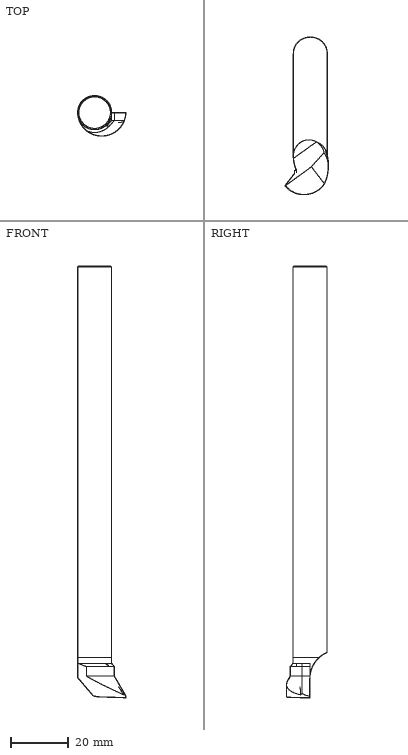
import cadquery as cq
import math

TOTAL_LENGTH = 151.2
SHANK_RADIUS = 5.97
SHANK_CHAMFER = 0.5

JOINT_Z = 14.0
NECK_Z = 12.1
COLLAR_TOP_Z = 10.9
COLLAR_BOTTOM_Z = 7.5

COLLAR_RADIUS = 7.0
TIP_X = 10.97
HEAD_RADIUS = (TIP_X + SHANK_RADIUS) / 2
HEAD_CENTER_X = (TIP_X - SHANK_RADIUS) / 2
HEAD_CENTER_Y = 0.23
FLARE_HALF_ANGLE = 30.0

PAD_WIDTH = 2.7
PAD_BEVEL_END = 4.7

HEEL_TOP_Z = 7.1
HEEL_BOTTOM_X = -0.5
HEEL_BOTTOM_Z = 0.6
SOLE_X = 1.2
SOLE_Z = 0.3

RUNOUT_RADIUS = 9.8
RUNOUT_CENTER_Z = 6.8

CUT_SIZE = 45.4


def rake_cutter():
    """Space behind the rake face, with a cylindrical run-out into the shank."""
    runout = (
        cq.Workplane("YZ")
        .center(RUNOUT_RADIUS, RUNOUT_CENTER_Z)
        .circle(RUNOUT_RADIUS)
        .extrude(CUT_SIZE / 2, both=True)
    )
    below_runout = (
        cq.Workplane("XY", origin=(0, CUT_SIZE / 2, RUNOUT_CENTER_Z - CUT_SIZE / 2))
        .box(CUT_SIZE, CUT_SIZE, CUT_SIZE)
    )
    return runout.union(below_runout)


def make_shank():
    """Round bar with a chamfered far end and the upper part of the run-out."""
    bar = (
        cq.Workplane("XY", origin=(0, 0, JOINT_Z))
        .circle(SHANK_RADIUS)
        .extrude(TOTAL_LENGTH - JOINT_Z)
        .faces(">Z")
        .chamfer(SHANK_CHAMFER)
    )
    return bar.cut(rake_cutter())


def flank_radius(z):
    """Radius of the clearance cone at a height below the collar."""
    return COLLAR_RADIUS + (COLLAR_BOTTOM_Z - z) * math.tan(math.radians(FLARE_HALF_ANGLE))


def hook_profile(depth=0.0, inset=0.0):
    """Half section of the collar and flared flank, placed in front of the rake face and moved inward."""
    return (
        cq.Workplane("XZ", origin=(-inset, -depth, 0))
        .polyline([
            (0, 0),
            (flank_radius(0), 0),
            (COLLAR_RADIUS, COLLAR_BOTTOM_Z),
            (COLLAR_RADIUS, COLLAR_TOP_Z),
            (SHANK_RADIUS, NECK_Z),
            (0, NECK_Z),
        ])
        .close()
    )


def make_pad():
    """Flat flank pad whose bevelled side runs back onto the collar."""
    bevel_inset = COLLAR_RADIUS - math.sqrt(COLLAR_RADIUS**2 - PAD_BEVEL_END**2)
    bevel_start = hook_profile(PAD_WIDTH).wires().val()
    bevel_end = hook_profile(PAD_BEVEL_END, bevel_inset).wires().val()
    bevel = cq.Solid.makeLoft([bevel_start, bevel_end], True)
    return hook_profile().extrude(PAD_WIDTH).union(cq.Workplane(obj=bevel))


def make_hook():
    """Half-round collar and cone in front of the rake face, with the flank pad."""
    turned = hook_profile().revolve(360, (0, 0, 0), (0, 1, 0))
    front_half = (
        cq.Workplane("XY", origin=(0, -CUT_SIZE / 2, 0))
        .box(CUT_SIZE, CUT_SIZE, CUT_SIZE)
    )
    return turned.union(make_pad()).intersect(offset_cylinder()).intersect(front_half)


def make_neck():
    """Round stub that carries the run-out down behind the hook."""
    return (
        cq.Workplane("XY", origin=(0, 0, RUNOUT_CENTER_Z))
        .circle(SHANK_RADIUS)
        .extrude(JOINT_Z - RUNOUT_CENTER_Z)
    )


def offset_cylinder():
    """Outer cylinder that reaches from the back of the shank to the tip."""
    return (
        cq.Workplane("XY")
        .center(HEAD_CENTER_X, HEAD_CENTER_Y)
        .circle(HEAD_RADIUS)
        .extrude(JOINT_Z)
    )


def underside_cutter():
    """Space under the sloping heel and the nearly flat sole."""
    return (
        cq.Workplane("XZ")
        .polyline([
            (-SHANK_RADIUS, HEEL_TOP_Z),
            (HEEL_BOTTOM_X, HEEL_BOTTOM_Z),
            (SOLE_X, SOLE_Z),
            (TIP_X, 0),
            (TIP_X, -1.5),
            (-CUT_SIZE, -1.5),
            (-CUT_SIZE, HEEL_TOP_Z),
        ])
        .close()
        .extrude(CUT_SIZE / 2, both=True)
    )


def make_head():
    """Cutting head with one hooked tip."""
    blank = make_neck().union(make_hook())
    return blank.cut(underside_cutter()).cut(rake_cutter())


shank = make_shank()
head = make_head()

result = cq.Compound.makeCompound([shank.val(), head.val()])